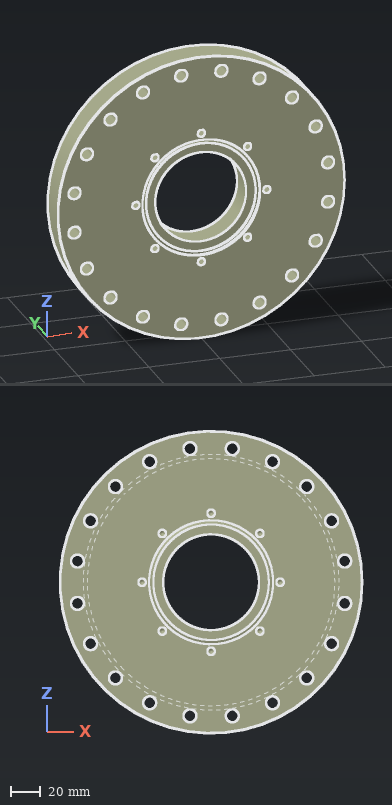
import cadquery as cq
import math

flange_diameter = 202.5
thickness = 22.3
bore_diameter = 64.0
rim_chamfer = 0.5

front_recess_radius = 41.5
back_recess_radius = 85.6
knife_flank_width = 2.8
knife_tip_depth = 0.6
knife_flank_angle = 20.0
recess_floor_depth = 1.5

rim_hole_count = 20
rim_hole_diameter = 8.5
rim_hole_circle_radius = 90.5

inner_hole_count = 8
inner_hole_diameter = 5.0
inner_hole_circle_radius = 46.1
inner_hole_depth = 12.1
drill_point_angle = 118.0


def knife_recess_points(recess_radius):
    """Half-section corners of a recess as (radius, depth), from the bore out to the face."""
    knife_radius = recess_radius - knife_flank_width
    flank_drop = knife_flank_width * math.tan(math.radians(knife_flank_angle))
    return [
        (bore_diameter / 2, recess_floor_depth),
        (knife_radius, recess_floor_depth),
        (knife_radius, knife_tip_depth),
        (recess_radius, knife_tip_depth + flank_drop),
        (recess_radius, 0),
    ]


def make_body():
    """Revolve the flange half-section, with the bore and both knife-edge recesses in it."""
    outer_radius = flange_diameter / 2
    front_points = knife_recess_points(front_recess_radius)
    front_points += [(outer_radius - rim_chamfer, 0), (outer_radius, rim_chamfer)]
    back_points = knife_recess_points(back_recess_radius)
    back_points += [(outer_radius - rim_chamfer, 0), (outer_radius, rim_chamfer)]
    back_outline = [(radius, thickness - depth) for radius, depth in reversed(back_points)]
    section = cq.Workplane("XY").polyline(front_points + back_outline).close()
    return section.revolve(360, (0, 0, 0), (0, 1, 0))


def make_through_hole():
    """Cylinder on the Y axis spanning the full thickness."""
    radius = rim_hole_diameter / 2
    return cq.Workplane("XZ").circle(radius).extrude(-thickness)


def make_blind_hole():
    """Drilled hole on the Y axis: a cylinder followed by the conical drill point."""
    radius = inner_hole_diameter / 2
    point_length = radius / math.tan(math.radians(drill_point_angle / 2))
    return (
        cq.Workplane("XY")
        .lineTo(radius, 0)
        .lineTo(radius, inner_hole_depth)
        .lineTo(0, inner_hole_depth + point_length)
        .close()
        .revolve(360, (0, 0, 0), (0, 1, 0))
    )


def cut_hole_circle(body, hole, count, circle_radius, start_angle):
    """Cut evenly spaced copies of a hole on a circle about the Y axis."""
    for index in range(count):
        angle = start_angle + index * 360 / count
        placed_hole = hole.translate((circle_radius, 0, 0)).rotate((0, 0, 0), (0, 1, 0), angle)
        body = body.cut(placed_hole)
    return body


half_pitch = 180 / rim_hole_count
result = make_body()
result = cut_hole_circle(result, make_through_hole(), rim_hole_count, rim_hole_circle_radius, half_pitch)
result = cut_hole_circle(result, make_blind_hole(), inner_hole_count, inner_hole_circle_radius, 0)